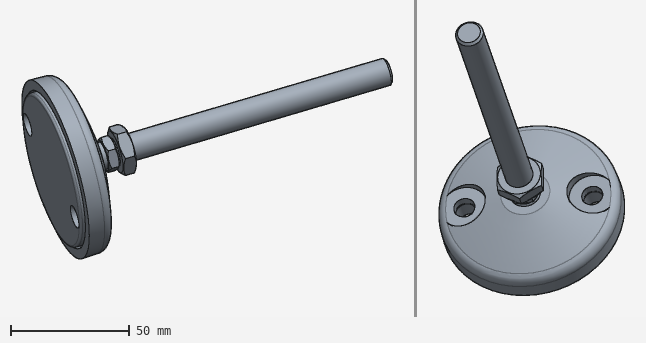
import cadquery as cq
import math

TOTAL_LENGTH = 153.4

FOOT_DIAMETER = 79.0
FOOT_RADIUS = FOOT_DIAMETER / 2
RIM_TOP_RADIUS = 39.3
SHOULDER_RADIUS = 35.6
CROWN_RADIUS = 10.6
FOOT_BOTTOM = 2.0
RIM_TOP = 9.0
SHOULDER_HEIGHT = 13.5
CROWN_HEIGHT = 20.5
SHOULDER_BULGE = 1.0
DOME_BULGE = 0.3
RECESS_MOUTH_RADIUS = 35.0
RECESS_FLOOR_RADIUS = 34.7
RECESS_FLOOR = RIM_TOP

PAD_RADIUS = 34.0
PAD_EDGE_FILLET = 1.0
PAD_THICKNESS = RECESS_FLOOR

PAD_HOLE_DIAMETER = 10.0
FOOT_HOLE_DIAMETER = 9.0
HOLE_SPACING = 55.0
COUNTERBORE_DIAMETER = 20.0
COUNTERBORE_FLOOR = SHOULDER_HEIGHT

SPINDLE_RADIUS = 6.0
TIP_CHAMFER = 1.0
FLARE_RADIUS = 6.6
FLARE_HEIGHT = 0.9
SPINDLE_HEX_FLATS = 14.1
SPINDLE_HEX_BOTTOM = 23.6
SPINDLE_HEX_TOP = 28.4
SPINDLE_HEX_FACE_RADIUS = 6.7

NUT_FLATS = 19.0
NUT_BOTTOM = 29.1
NUT_TOP = 35.3
NUT_FACE_RADIUS = 9.2

BEVEL_ANGLE = 30.0
HEX_HALF_SIDE_ANGLE = 30.0


def revolve_about_y(outline):
    """Turn a closed XY half outline into a solid of revolution about the Y axis."""
    return outline.close().revolve(360, (0, 0, 0), (0, 1, 0))


def cylinder_along_y(radius, start, end, x=0):
    """Cylinder parallel to Y between two heights."""
    return cq.Workplane("XZ", origin=(x, start, 0)).circle(radius).extrude(start - end)


def beveled_hex(flats, bottom, top, face_radius, turn=0.0):
    """Hexagon along Y with its corners turned off by a cone at both ends.

    At turn = 0 two corners lie on the X axis.
    """
    corner_radius = flats / 2 / math.cos(math.radians(HEX_HALF_SIDE_ANGLE))
    bevel = (corner_radius - face_radius) * math.tan(math.radians(BEVEL_ANGLE))
    prism = (
        cq.Workplane("XZ", origin=(0, bottom, 0))
        .polygon(6, 2 * corner_radius)
        .extrude(bottom - top)
        .rotate((0, 0, 0), (0, 1, 0), turn)
    )
    envelope = revolve_about_y(
        cq.Workplane("XY")
        .moveTo(0, bottom)
        .lineTo(face_radius, bottom)
        .lineTo(corner_radius, bottom + bevel)
        .lineTo(corner_radius, top - bevel)
        .lineTo(face_radius, top)
        .lineTo(0, top)
    )
    return prism.intersect(envelope)


def cut_hole_pair(body, diameter, start, end):
    """Cut two round holes along Y at the mounting positions on the X axis."""
    for side in (-1, 1):
        body = body.cut(cylinder_along_y(diameter / 2, start, end, side * HOLE_SPACING / 2))
    return body


def bulged_midpoint(lower, upper, bulge):
    """Midpoint of a chord that rises toward the axis, pushed outward by the bulge."""
    run = lower[0] - upper[0]
    rise = upper[1] - lower[1]
    chord = math.hypot(run, rise)
    return (
        (lower[0] + upper[0]) / 2 + bulge * rise / chord,
        (lower[1] + upper[1]) / 2 + bulge * run / chord,
    )


def make_foot():
    """Slightly domed foot with a pad recess below and counterbored mounting holes."""
    rim = (RIM_TOP_RADIUS, RIM_TOP)
    shoulder = (SHOULDER_RADIUS, SHOULDER_HEIGHT)
    crown = (CROWN_RADIUS, CROWN_HEIGHT)
    foot = revolve_about_y(
        cq.Workplane("XY")
        .moveTo(0, RECESS_FLOOR)
        .lineTo(RECESS_FLOOR_RADIUS, RECESS_FLOOR)
        .lineTo(RECESS_MOUTH_RADIUS, FOOT_BOTTOM)
        .lineTo(FOOT_RADIUS, FOOT_BOTTOM)
        .lineTo(*rim)
        .threePointArc(bulged_midpoint(rim, shoulder, SHOULDER_BULGE), shoulder)
        .threePointArc(bulged_midpoint(shoulder, crown, DOME_BULGE), crown)
        .lineTo(0, CROWN_HEIGHT)
    )
    foot = cut_hole_pair(foot, COUNTERBORE_DIAMETER, COUNTERBORE_FLOOR, CROWN_HEIGHT)
    return cut_hole_pair(foot, FOOT_HOLE_DIAMETER, RECESS_FLOOR, COUNTERBORE_FLOOR)


def make_pad():
    """Round pad with a rounded lower edge."""
    pad = cylinder_along_y(PAD_RADIUS, 0, PAD_THICKNESS).faces("<Y").edges().fillet(PAD_EDGE_FILLET)
    return cut_hole_pair(pad, PAD_HOLE_DIAMETER, 0, PAD_THICKNESS)


def make_spindle():
    """Rod with a flared base standing on the foot and a wrench hexagon above it."""
    rod = revolve_about_y(
        cq.Workplane("XY")
        .moveTo(0, CROWN_HEIGHT)
        .lineTo(FLARE_RADIUS, CROWN_HEIGHT)
        .lineTo(SPINDLE_RADIUS, CROWN_HEIGHT + FLARE_HEIGHT)
        .lineTo(SPINDLE_RADIUS, TOTAL_LENGTH - TIP_CHAMFER)
        .lineTo(SPINDLE_RADIUS - TIP_CHAMFER, TOTAL_LENGTH)
        .lineTo(0, TOTAL_LENGTH)
    )
    wrench_hex = beveled_hex(
        SPINDLE_HEX_FLATS, SPINDLE_HEX_BOTTOM, SPINDLE_HEX_TOP, SPINDLE_HEX_FACE_RADIUS
    )
    return rod.union(wrench_hex)


def make_nut():
    """Hexagon lock nut on the rod, with two corners on the Z axis."""
    nut = beveled_hex(NUT_FLATS, NUT_BOTTOM, NUT_TOP, NUT_FACE_RADIUS, turn=HEX_HALF_SIDE_ANGLE)
    return nut.cut(cylinder_along_y(SPINDLE_RADIUS, NUT_BOTTOM, NUT_TOP))


foot = make_foot()
pad = make_pad()
spindle = make_spindle()
nut = make_nut()

result = cq.Compound.makeCompound([foot.val(), pad.val(), spindle.val(), nut.val()])